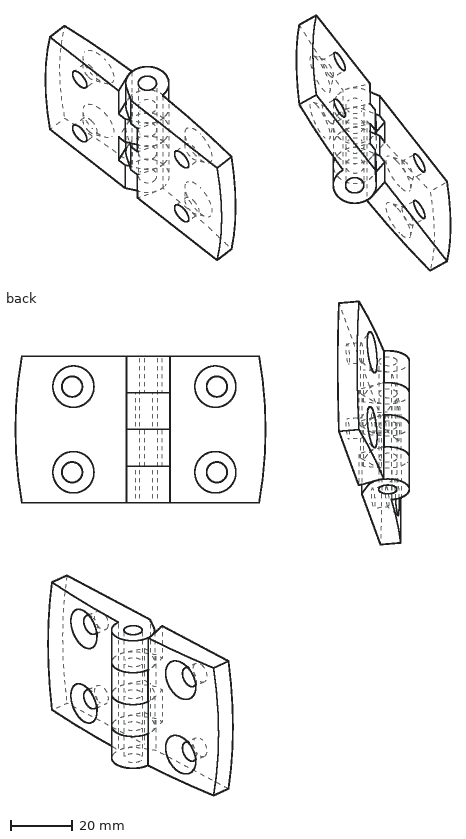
import cadquery as cq
import math

LENGTH = 82.0
HEIGHT = 48.0
DEPTH = 16.0

BARREL_RADIUS = 7.05
PIN_DIAMETER = 6.0
AXIS_X = -2.55
AXIS_Y = DEPTH - BARREL_RADIUS
KNUCKLE_COUNT = 4
KNUCKLE_HEIGHT = HEIGHT / KNUCKLE_COUNT
KNUCKLE_CLEARANCE = 0.1
KNUCKLE_SLOPE = math.radians(30)
RELIEF_SLOPE = math.radians(20)

LEFT_SPAN = LENGTH / 2 + AXIS_X
RIGHT_SPAN = LENGTH / 2 - AXIS_X
EDGE_THICKNESS = 6.5
END_BULGE = 2.1

HOLE_DIAMETER = 6.6
HOLE_SPACING = 28.0
LEFT_HOLE_OFFSET = 22.5
RIGHT_HOLE_OFFSET = 24.9
HEAD_DIAMETER = 13.5
HEAD_HALF_ANGLE = math.radians(45)


def dome_radius(span):
    """Radius of the dome that falls from the axis height to the edge thickness over the span."""
    drop = AXIS_Y - EDGE_THICKNESS
    return (span**2 + drop**2) / (2 * drop)


def dome_height(span, x):
    """Height of the dome above the mounting face at a distance x from the axis."""
    radius = dome_radius(span)
    return AXIS_Y - radius + math.sqrt(radius**2 - x**2)


def plate(span):
    """Domed plate reaching from the hinge axis at X = 0 to its bulged end at X = span."""
    middle_x = span / 2
    domed = (
        cq.Workplane("XY")
        .lineTo(span, 0)
        .lineTo(span, EDGE_THICKNESS)
        .threePointArc((middle_x, dome_height(span, middle_x)), (0, AXIS_Y))
        .close()
        .extrude(HEIGHT / 2, both=True)
    )
    corner_x = span - END_BULGE
    outline = (
        cq.Workplane("XZ")
        .moveTo(0, -HEIGHT / 2)
        .lineTo(corner_x, -HEIGHT / 2)
        .threePointArc((span, 0), (corner_x, HEIGHT / 2))
        .lineTo(0, HEIGHT / 2)
        .close()
        .extrude(-DEPTH)
    )
    return domed.intersect(outline)


def relief(bottom_z):
    """Space taken out of a leaf beside one knuckle of the other leaf."""
    radius = BARREL_RADIUS + KNUCKLE_CLEARANCE
    tangent_x = radius * math.cos(RELIEF_SLOPE)
    tangent_y = AXIS_Y - radius * math.sin(RELIEF_SLOPE)
    foot_x = tangent_x - tangent_y * math.tan(RELIEF_SLOPE)
    wedge = (
        cq.Workplane("XY", origin=(0, 0, bottom_z))
        .lineTo(foot_x, 0)
        .lineTo(tangent_x, tangent_y)
        .lineTo(0, AXIS_Y)
        .close()
        .extrude(KNUCKLE_HEIGHT)
    )
    barrel = cq.Workplane("XY", origin=(0, AXIS_Y, bottom_z)).circle(radius).extrude(KNUCKLE_HEIGHT)
    return wedge.union(barrel)


def knuckle(bottom_z):
    """Barrel with a sloping underside that runs tangent into the mounting face."""
    tangent_x = -BARREL_RADIUS * math.sin(KNUCKLE_SLOPE)
    tangent_y = AXIS_Y - BARREL_RADIUS * math.cos(KNUCKLE_SLOPE)
    foot_x = tangent_x + tangent_y / math.tan(KNUCKLE_SLOPE)
    plate_x = BARREL_RADIUS + KNUCKLE_CLEARANCE
    root = (
        cq.Workplane("XY", origin=(0, 0, bottom_z))
        .moveTo(0, AXIS_Y)
        .lineTo(tangent_x, tangent_y)
        .lineTo(foot_x, 0)
        .lineTo(plate_x, 0)
        .lineTo(plate_x, AXIS_Y)
        .close()
        .extrude(KNUCKLE_HEIGHT)
    )
    barrel = (
        cq.Workplane("XY", origin=(0, AXIS_Y, bottom_z)).circle(BARREL_RADIUS).extrude(KNUCKLE_HEIGHT)
    )
    return barrel.union(root)


def screw_cutter(span, x, z):
    """Through hole with a conical countersink that opens through the dome."""
    hole_radius = HOLE_DIAMETER / 2
    head_radius = HEAD_DIAMETER / 2
    rim_y = dome_height(span, x)
    cone_slope = math.tan(HEAD_HALF_ANGLE)
    cone_start_y = rim_y - (head_radius - hole_radius) / cone_slope
    top_radius = head_radius + (DEPTH - rim_y) * cone_slope
    return (
        cq.Workplane("XY")
        .lineTo(hole_radius, 0)
        .lineTo(hole_radius, cone_start_y)
        .lineTo(top_radius, DEPTH)
        .lineTo(0, DEPTH)
        .close()
        .revolve(360, (0, 0, 0), (0, 1, 0))
        .translate((x, 0, z))
    )


def leaf(span, hole_offset, first_knuckle):
    """Leaf pointing along +X from the axis, owning every second knuckle."""
    body = plate(span)
    slots = [(i, -HEIGHT / 2 + i * KNUCKLE_HEIGHT) for i in range(KNUCKLE_COUNT)]
    for z in (-HOLE_SPACING / 2, HOLE_SPACING / 2):
        body = body.cut(screw_cutter(span, hole_offset, z))
    for _, bottom_z in slots:
        body = body.cut(relief(bottom_z))
    for index, bottom_z in slots:
        if index % 2 == first_knuckle:
            body = body.union(knuckle(bottom_z))
    bore = cq.Workplane("XY", origin=(0, AXIS_Y, 0)).circle(PIN_DIAMETER / 2).extrude(HEIGHT / 2, both=True)
    return body.cut(bore)


def hinge_pin():
    """Plain pin, flush with both ends of the barrel."""
    return (
        cq.Workplane("XY", origin=(AXIS_X, AXIS_Y, 0))
        .circle(PIN_DIAMETER / 2)
        .extrude(HEIGHT / 2, both=True)
    )


left_leaf = leaf(LEFT_SPAN, LEFT_HOLE_OFFSET, 0).mirror("YZ").translate((AXIS_X, 0, 0))
right_leaf = leaf(RIGHT_SPAN, RIGHT_HOLE_OFFSET, 1).translate((AXIS_X, 0, 0))
pin = hinge_pin()

result = cq.Compound.makeCompound([left_leaf.val(), right_leaf.val(), pin.val()])